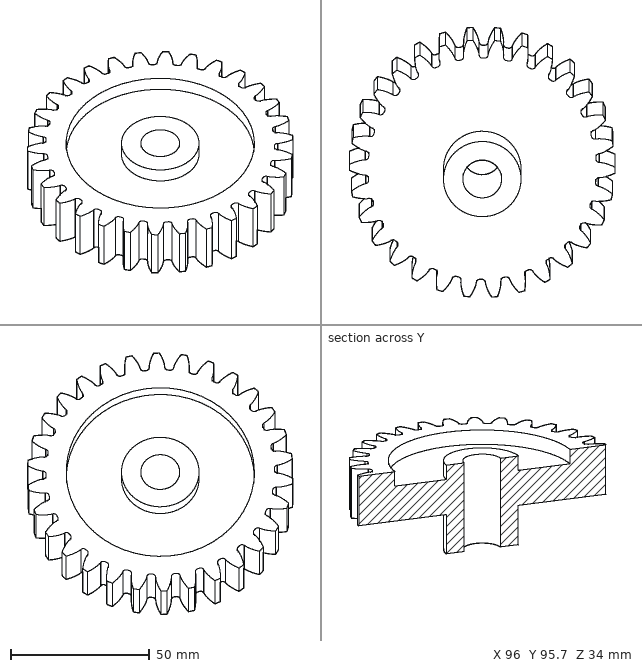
import cadquery as cq
import math

tooth_count = 30
outer_diameter = 96.0
pressure_angle = math.radians(20)
root_depth_in_modules = 1.25
root_fillet_in_modules = 0.4
flank_steps = 6

gear_height = 19.0
hub_height = 15.0
hub_diameter = 28.0
bore_diameter = 14.0
recess_diameter = 68.0
recess_depth = 5.5

module = outer_diameter / (tooth_count + 2)
tip_radius = outer_diameter / 2
pitch_radius = module * tooth_count / 2
base_radius = pitch_radius * math.cos(pressure_angle)
root_radius = pitch_radius - root_depth_in_modules * module
root_fillet_radius = root_fillet_in_modules * module
pitch_angle = 2 * math.pi / tooth_count


def polar(radius, angle):
    return (radius * math.cos(angle), radius * math.sin(angle))


def involute(angle):
    return math.tan(angle) - angle


def half_tooth_angle(radius):
    """Angle from the tooth's centre line to its involute flank at the given radius."""
    flank_pressure_angle = math.acos(base_radius / radius)
    return pitch_angle / 4 + involute(pressure_angle) - involute(flank_pressure_angle)


def tooth_gap():
    """Cutter for the gap centred on +X: involute flanks, radial below the base circle, rounded root."""
    radii = [base_radius + (tip_radius - base_radius) * i / flank_steps for i in range(flank_steps + 1)]
    upper_flank = [polar(r, pitch_angle / 2 - half_tooth_angle(r)) for r in radii]
    lower_flank = [(x, -y) for x, y in upper_flank]

    gap_angle = pitch_angle / 2 - half_tooth_angle(base_radius)
    fillet_centre_radius = root_radius + root_fillet_radius
    fillet_offset = math.asin(root_fillet_radius / fillet_centre_radius)
    fillet_angle = gap_angle - fillet_offset
    fillet_top_radius = fillet_centre_radius * math.cos(fillet_offset)
    centre_x, centre_y = polar(fillet_centre_radius, fillet_angle)
    middle_angle = (fillet_angle + math.pi + gap_angle + math.pi / 2) / 2
    middle_x = centre_x + root_fillet_radius * math.cos(middle_angle)
    middle_y = centre_y + root_fillet_radius * math.sin(middle_angle)

    outside_x = tip_radius + module
    return (
        cq.Workplane("XY")
        .moveTo(outside_x, lower_flank[-1][1])
        .lineTo(*lower_flank[-1])
        .spline(lower_flank[-2::-1], includeCurrent=True)
        .lineTo(*polar(fillet_top_radius, -gap_angle))
        .threePointArc((middle_x, -middle_y), polar(root_radius, -fillet_angle))
        .threePointArc((root_radius, 0), polar(root_radius, fillet_angle))
        .threePointArc((middle_x, middle_y), polar(fillet_top_radius, gap_angle))
        .lineTo(*upper_flank[0])
        .spline(upper_flank[1:], includeCurrent=True)
        .lineTo(outside_x, upper_flank[-1][1])
        .close()
        .extrude(gear_height)
    )


def gear_blank():
    """Disc with its underside on Z = 0, with a ring-shaped recess in the top around the hub."""
    disc = cq.Workplane("XY").circle(tip_radius).extrude(gear_height)
    recess = (
        cq.Workplane("XY", origin=(0, 0, gear_height - recess_depth))
        .circle(recess_diameter / 2)
        .circle(hub_diameter / 2)
        .extrude(recess_depth)
    )
    return disc.cut(recess)


gear = gear_blank()
gap = tooth_gap()
for i in range(tooth_count):
    gap_direction = math.degrees((i + 0.5) * pitch_angle)
    gear = gear.cut(gap.rotate((0, 0, 0), (0, 0, 1), gap_direction))

hub = cq.Workplane("XY").circle(hub_diameter / 2).extrude(-hub_height)
bore = (
    cq.Workplane("XY", origin=(0, 0, -hub_height))
    .circle(bore_diameter / 2)
    .extrude(hub_height + gear_height)
)
result = gear.union(hub).cut(bore)